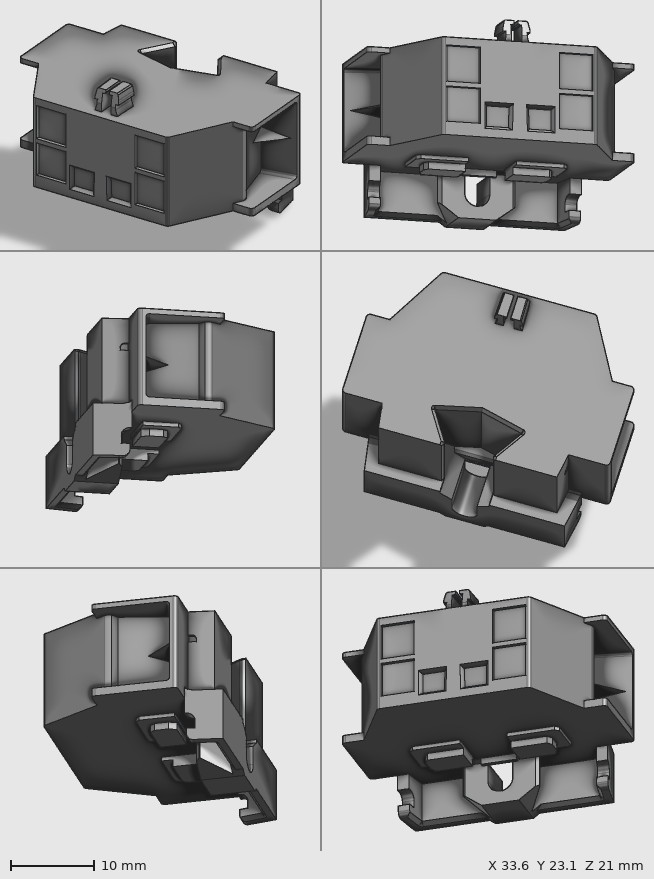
import cadquery as cq
import math


BODY_HEIGHT = 12.05
TOTAL_DEPTH = 23.1
WING_HALF_WIDTH = 16.8
WING_FRONT_Y = 7.77
WING_BACK_Y = 18.5
SHOULDER_HALF_WIDTH = 13.98
FRONT_HALF_WIDTH = 9.65
CORNER_RADIUS = 0.5

BLOCK_BACK_Y = 21.7
BLOCK_BACK_HALF = 11.2
BLOCK_FRONT_HALF = 11.7
BLOCK_NOTCH_Z = (8.1, 9.0)
BLOCK_NOTCH_DEPTH = 1.0
BLOCK_NOTCH_BITE = 0.5
BLOCK_NOTCH_RADIUS = 0.6

PLATE_TOP_Z = 11.4
PLATE_BOTTOM_Z = 1.03
POCKET_FILLET = 0.45
POCKET_CORNER = (12.2, 16.6)
POCKET_OUTER_Y = 17.55
POCKET_WALL_END = (13.7, 10.3)
JAMB_Y = (8.88, 9.75)
JAMB_BULGE = 0.07

WEDGE_Z = 6.25
WEDGE_HALF_HEIGHT = 0.85
WEDGE_OUTER_X = 16.0
WEDGE_FRONT_Y = 13.9

LABEL_X = (4.97, 9.18)
LABEL_Z_RANGES = ((1.65, 6.0), (6.58, 11.05))
LABEL_DEPTH = 0.5
WINDOW_X = (0.84, 4.41)
WINDOW_Z = (1.08, 4.35)
WINDOW_LEAN = 0.1
WINDOW_BEVEL = 0.38
WINDOW_DEPTH = 0.5

CLIP_HEIGHT = 2.95
CLIP_BACK_Y = 4.62
CLIP_FRONT_Y = 1.28
CLIP_FRONT_LEAN = 0.35
CLIP_LEAN_START = 1.1
CLIP_DRAFT = 0.1
CLIP_INNER_X = 0.67
CLIP_FOOT_X = 1.7
CLIP_ANKLE_X = 1.45
CLIP_ANKLE_HEIGHT = 0.83
CLIP_NECK_X = 1.42
CLIP_BARB_X = 1.8
CLIP_BARB_HEIGHT = 1.5
CLIP_BARB_EDGE = 0.3
CLIP_BARB_BEVEL = (0.06, 0.3)
CLIP_SHOULDER_X = 1.6
CLIP_CROWN_X = 1.45
CLIP_CROWN_DROP = 0.2
CLIP_LIP_X = 0.24
CLIP_LIP_HEIGHT = 0.52
CLIP_LIP_BEVEL = (0.21, 0.12)

FOOT_TOP_Z = PLATE_BOTTOM_Z
FOOT_BOTTOM_Z = -5.45
FOOT_BACK_HALF = 12.58
FOOT_FRONT_HALF = 13.35
FOOT_FRONT_Y = WING_BACK_Y
FOOT_RAMP = (1.0, 0.45)
FOOT_RAMP_KINK = (0.3, 0.2)
TOE_SETBACK = 0.22
TOE_RADIUS = 0.75
HOOK_THICKNESS = 1.45
RECESS_BACK_Y = 21.7
RECESS_BACK_HALF = 11.28
RECESS_BEVEL = 0.5
HOOK_NOTCH_DEPTH = 1.25
HOOK_NOTCH_RADIUS = 1.05
HOOK_NOTCH_Z = (-3.93, -1.95)

TONGUE_FRONT_Y = 17.65
TONGUE_HALF = 4.86
TONGUE_CORNER = 0.4
TONGUE_SIDE_Y = 18.2
TONGUE_SIDE_ANGLE = 32
TONGUE_TIP_HALF = 2.37
TONGUE_SHOULDER_Z = -4.2
TONGUE_BOTTOM_Z = -6.0
SLOT_RADIUS = 1.58
SLOT_CENTRE_Z = -2.86
LEDGE_HALF = 2.27
LEDGE_FRONT_Y = 17.1
LEDGE_DEPTH = 0.8
GUSSET_SIZE = 0.4

NECK_HALF = 3.09
NECK_FRONT_Y = 21.1
NECK_BEVEL = (0.22, 0.4)
DOVETAIL_HALF = 5.45
DOVETAIL_Y = 17.32
DOVETAIL_APEX_Y = 16.0
DOVETAIL_BEVEL = 0.4
FLOOR_Z = 0.6
FUNNEL_SLOPE = (TONGUE_SHOULDER_Z - TONGUE_BOTTOM_Z) / (TONGUE_HALF - TONGUE_TIP_HALF)
SILL_Y = (17.07, 17.5)
SILL_DROP = 0.12

PAD_INNER_X = 3.0
PAD_OUTER_X = 9.5
PAD_Y = (11.35, 16.25)
PAD_HEIGHT = 0.5
PAD_CORNER = 0.5
LOWER_PAD_OUTER_X = 8.05
LOWER_PAD_Y = (12.75, 16.05)
LOWER_PAD_HEIGHT = 0.9
LOWER_PAD_FRONT_CORNER = 0.65
LOWER_PAD_BACK_CORNER = 0.95
LOWER_PAD_CORNER_WIDTH = 0.45

BEVEL_ANGLE = 45
CLEARANCE = 1.0


def box(x_range, y_range, z_range):
    """Axis-aligned box from its three extents."""
    size = [high - low for low, high in (x_range, y_range, z_range)]
    corner = (x_range[0], y_range[0], z_range[0])
    return cq.Workplane("XY").box(*size, centered=False).translate(corner)


def plan(points, z_low, z_high):
    """Prism standing on an XY outline."""
    return cq.Workplane("XY").workplane(offset=z_low).polyline(points).close().extrude(z_high - z_low)


def mirrored(points):
    """Closed outline from its +X half, listed from one end of the mirror line to the other."""
    return points + [(-x, v) for x, v in reversed(points) if x > 0]


def elevation(points, y_low, y_high):
    """Prism running along Y from an XZ outline."""
    return cq.Workplane("XZ", origin=(0, y_low, 0)).polyline(points).close().extrude(y_low - y_high)


def profile(points, x_low, x_high):
    """Prism running along X from a YZ outline."""
    return cq.Workplane("YZ", origin=(x_low, 0, 0)).polyline(points).close().extrude(x_high - x_low)


def both_sides(shape):
    """The shape together with its mirror image across X = 0."""
    return shape.union(shape.mirror("YZ"))


def make_body():
    """Main body with its wings and rear block, before the pockets and the rear notch are cut."""
    half = [
        (FRONT_HALF_WIDTH, 0),
        (SHOULDER_HALF_WIDTH, WING_FRONT_Y),
        (WING_HALF_WIDTH, WING_FRONT_Y),
        (WING_HALF_WIDTH, WING_BACK_Y),
    ]
    body = plan(mirrored(half), 0, BODY_HEIGHT)
    for x, y in (half[0], half[2], half[3]):
        for side in (-1, 1):
            corner = cq.selectors.NearestToPointSelector((side * x, y, BODY_HEIGHT / 2))
            body = body.edges("|Z").edges(corner).fillet(CORNER_RADIUS)
    block = [
        (BLOCK_FRONT_HALF, WING_BACK_Y - CLEARANCE),
        (BLOCK_FRONT_HALF, WING_BACK_Y),
        (BLOCK_BACK_HALF, BLOCK_BACK_Y),
    ]
    body = body.union(plan(mirrored(block), 0, BODY_HEIGHT))
    notch_x = (BLOCK_FRONT_HALF - BLOCK_NOTCH_BITE, WING_HALF_WIDTH)
    notch = make_notch(BLOCK_NOTCH_DEPTH, BLOCK_NOTCH_Z, notch_x, BLOCK_NOTCH_RADIUS)
    return body.cut(both_sides(notch))


def make_wing_pocket():
    """Pocket in the +X wing, open outward and to the front, less the rounded jamb of the front slope."""
    slope = (SHOULDER_HALF_WIDTH - FRONT_HALF_WIDTH) / WING_FRONT_Y
    jamb_x = SHOULDER_HALF_WIDTH + slope * (JAMB_Y[0] - WING_FRONT_Y)
    outer_x = WING_HALF_WIDTH + CLEARANCE
    front_y = WING_FRONT_Y - CLEARANCE
    pocket = (
        cq.Workplane("XY").workplane(offset=PLATE_BOTTOM_Z)
        .moveTo(SHOULDER_HALF_WIDTH - slope * CLEARANCE, front_y)
        .lineTo(jamb_x, JAMB_Y[0])
        .threePointArc((jamb_x + JAMB_BULGE, sum(JAMB_Y) / 2), (jamb_x, JAMB_Y[1]))
        .lineTo(*POCKET_WALL_END)
        .lineTo(*POCKET_CORNER)
        .lineTo(WING_HALF_WIDTH, POCKET_OUTER_Y)
        .lineTo(outer_x, POCKET_OUTER_Y)
        .lineTo(outer_x, front_y)
        .close()
        .extrude(PLATE_TOP_Z - PLATE_BOTTOM_Z)
    )
    middle = ((POCKET_CORNER[0] + WING_HALF_WIDTH) / 2, (POCKET_CORNER[1] + POCKET_OUTER_Y) / 2)
    for z in (PLATE_BOTTOM_Z, PLATE_TOP_Z):
        pocket = pocket.edges(cq.selectors.NearestToPointSelector((*middle, z))).fillet(POCKET_FILLET)
    return pocket


def make_wedge():
    """Pointed rib across the inner corner of the +X pocket."""
    (x, y), (end_x, end_y) = POCKET_CORNER, POCKET_WALL_END
    share = (y - WEDGE_FRONT_Y) / (y - end_y)
    front_tip = cq.Vector(x + share * (end_x - x), WEDGE_FRONT_Y, WEDGE_Z)
    share = (WEDGE_OUTER_X - x) / (WING_HALF_WIDTH - x)
    outer_tip = cq.Vector(WEDGE_OUTER_X, y + share * (POCKET_OUTER_Y - y), WEDGE_Z)
    upper = cq.Vector(x, y, WEDGE_Z + WEDGE_HALF_HEIGHT)
    lower = cq.Vector(x, y, WEDGE_Z - WEDGE_HALF_HEIGHT)
    triangles = [
        (front_tip, outer_tip, upper),
        (outer_tip, front_tip, lower),
        (upper, lower, front_tip),
        (lower, upper, outer_tip),
    ]
    faces = [cq.Face.makeFromWires(cq.Wire.makePolygon(t, close=True)) for t in triangles]
    return cq.Workplane(cq.Solid.makeSolid(cq.Shell.makeShell(faces)))


def make_front_recesses():
    """Label recesses and bevelled window of the +X half of the front face."""
    inner_x, outer_x = WINDOW_X
    low_z, high_z = WINDOW_Z
    bevel = WINDOW_BEVEL
    rim = [(inner_x + WINDOW_LEAN, low_z), (outer_x, low_z), (outer_x, high_z), (inner_x, high_z)]
    floor = [
        (inner_x + bevel + WINDOW_LEAN, low_z + bevel),
        (outer_x - bevel, low_z + bevel),
        (outer_x - bevel, high_z - bevel),
        (inner_x + bevel, high_z - bevel),
    ]
    recesses = (
        cq.Workplane("XZ")
        .polyline(rim).close()
        .workplane(offset=-WINDOW_DEPTH)
        .polyline(floor).close()
        .loft(ruled=True)
    )
    for z_range in LABEL_Z_RANGES:
        recesses = recesses.union(box(LABEL_X, (0, LABEL_DEPTH), z_range))
    return recesses


def make_clip_prong():
    """+X prong of the snap clip: a leaning foot, a neck, a barbed head and an inner lip."""
    top = BODY_HEIGHT + CLIP_HEIGHT
    barb_z = BODY_HEIGHT + CLIP_BARB_HEIGHT
    barb_top_z = barb_z + CLIP_BARB_EDGE
    lip_z = top - CLIP_LIP_HEIGHT
    outer = [
        (CLIP_FOOT_X, BODY_HEIGHT),
        (CLIP_ANKLE_X, BODY_HEIGHT + CLIP_ANKLE_HEIGHT),
        (CLIP_NECK_X, barb_z),
        (CLIP_BARB_X, barb_z),
        (CLIP_BARB_X, barb_top_z),
        (CLIP_BARB_X - CLIP_BARB_BEVEL[0], barb_top_z + CLIP_BARB_BEVEL[1]),
        (CLIP_SHOULDER_X, top - CLIP_CROWN_DROP),
        (CLIP_CROWN_X, top),
    ]
    inner = [
        (CLIP_LIP_X, top),
        (CLIP_LIP_X, lip_z + CLIP_LIP_BEVEL[1]),
        (CLIP_LIP_X + CLIP_LIP_BEVEL[0], lip_z),
        (CLIP_INNER_X, lip_z),
        (CLIP_INNER_X, BODY_HEIGHT),
    ]
    narrowed = [(x - CLIP_DRAFT, z) for x, z in outer]
    prong = (
        cq.Workplane("XZ", origin=(0, CLIP_BACK_Y, 0))
        .polyline(outer + inner).close()
        .workplane(offset=CLIP_BACK_Y - CLIP_FRONT_Y)
        .polyline(narrowed + inner).close()
        .loft(ruled=True)
    )
    lean = [
        (CLIP_FRONT_Y, BODY_HEIGHT + CLIP_LEAN_START),
        (CLIP_FRONT_Y, top),
        (CLIP_FRONT_Y + CLIP_FRONT_LEAN, top),
    ]
    return prong.cut(profile(lean, 0, CLIP_BARB_X))


def make_notch(depth, z_range, x_range, radius):
    """Tool for a notch at the front edge of a side wall, with its upper rear corner rounded."""
    back_y = FOOT_FRONT_Y + depth
    notch = box(x_range, (FOOT_FRONT_Y, back_y), z_range)
    return notch.edges("|X and >Y and >Z").fillet(radius)


def make_foot():
    """Rail foot: a hooked side wall at each end and a wide recess between them."""
    run, rise = FOOT_RAMP
    kink_run, kink_rise = FOOT_RAMP_KINK
    toe_y = FOOT_FRONT_Y + TOE_SETBACK
    side = [
        (TOTAL_DEPTH, FOOT_TOP_Z),
        (FOOT_FRONT_Y + run, FOOT_TOP_Z),
        (FOOT_FRONT_Y + kink_run, FOOT_TOP_Z + kink_rise),
        (FOOT_FRONT_Y, FOOT_TOP_Z + rise),
        (FOOT_FRONT_Y, HOOK_NOTCH_Z[0]),
        (toe_y, HOOK_NOTCH_Z[0]),
        (toe_y, FOOT_BOTTOM_Z),
        (TOTAL_DEPTH, FOOT_BOTTOM_Z),
    ]
    outline = mirrored([(FOOT_FRONT_HALF, FOOT_FRONT_Y), (FOOT_BACK_HALF, TOTAL_DEPTH)])
    foot = plan(outline, FOOT_BOTTOM_Z, FOOT_TOP_Z + rise)
    sides = profile(side, -FOOT_FRONT_HALF, FOOT_FRONT_HALF)
    toe_edge = cq.selectors.NearestToPointSelector((0, toe_y, FOOT_BOTTOM_Z))
    foot = foot.intersect(sides.edges(toe_edge).fillet(TOE_RADIUS))
    inner = FOOT_FRONT_HALF - HOOK_THICKNESS
    recess = mirrored([
        (inner, FOOT_FRONT_Y),
        (RECESS_BACK_HALF, RECESS_BACK_Y),
    ])
    foot = foot.cut(plan(recess, FOOT_BOTTOM_Z, 0))
    bevel = (
        cq.Workplane("XY").workplane(offset=FOOT_BOTTOM_Z + RECESS_BEVEL)
        .polyline(recess).close()
        .extrude(-RECESS_BEVEL, taper=-BEVEL_ANGLE)
    )
    foot = foot.cut(bevel)
    notch_x = (RECESS_BACK_HALF, WING_HALF_WIDTH)
    notch = make_notch(HOOK_NOTCH_DEPTH, HOOK_NOTCH_Z, notch_x, HOOK_NOTCH_RADIUS)
    return foot.cut(both_sides(notch))


def make_tongue():
    """Tapered tongue below the notch, with the ledge that caps its front."""
    outline = [
        (TONGUE_HALF, BODY_HEIGHT / 2),
        (TONGUE_HALF, TONGUE_SHOULDER_Z),
        (TONGUE_TIP_HALF, TONGUE_BOTTOM_Z),
    ]
    tongue = elevation(mirrored(outline), TONGUE_FRONT_Y, TOTAL_DEPTH)
    tongue = tongue.edges("|Z and <Y").chamfer(TONGUE_CORNER)
    waist = TONGUE_HALF - (RECESS_BACK_Y - TONGUE_SIDE_Y) * math.tan(math.radians(TONGUE_SIDE_ANGLE))
    side = [(TONGUE_HALF, TONGUE_SIDE_Y), (TONGUE_HALF, RECESS_BACK_Y), (waist, RECESS_BACK_Y)]
    tongue = tongue.cut(both_sides(plan(side, TONGUE_BOTTOM_Z, 0)))
    tongue = tongue.cut(box((-TONGUE_HALF, TONGUE_HALF), (0, TOTAL_DEPTH), (FOOT_TOP_Z, BODY_HEIGHT)))
    ledge = box((-LEDGE_HALF, LEDGE_HALF), (LEDGE_FRONT_Y, TONGUE_FRONT_Y), (-LEDGE_DEPTH, 0))
    gusset_half = TONGUE_HALF - TONGUE_CORNER
    gusset = profile(
        [(TONGUE_FRONT_Y, 0), (TONGUE_FRONT_Y - GUSSET_SIZE, 0), (TONGUE_FRONT_Y, -GUSSET_SIZE)],
        -gusset_half, gusset_half,
    )
    return tongue.union(ledge).union(gusset)


def make_dovetail():
    """Tool for the rear notch: dovetail plan, bevelled rim, funnel-shaped floor and rounded slot."""
    back = TOTAL_DEPTH + CLEARANCE
    outline = mirrored([
        (0, DOVETAIL_APEX_Y),
        (DOVETAIL_HALF, DOVETAIL_Y),
        (NECK_HALF, NECK_FRONT_Y),
        (NECK_HALF, back),
    ])
    notch = plan(outline, TONGUE_BOTTOM_Z, BODY_HEIGHT)
    rim_z = BODY_HEIGHT - DOVETAIL_BEVEL
    rim = (
        cq.Workplane("XY").workplane(offset=rim_z)
        .polyline(outline).close()
        .extrude(DOVETAIL_BEVEL, taper=-BEVEL_ANGLE)
    )

    funnel_low = FLOOR_Z - FUNNEL_SLOPE * (NECK_HALF - SLOT_RADIUS)
    funnel_high = FLOOR_Z + FUNNEL_SLOPE * (DOVETAIL_HALF - NECK_HALF)
    funnel = elevation(
        mirrored([
            (SLOT_RADIUS, funnel_low),
            (DOVETAIL_HALF, funnel_high),
            (DOVETAIL_HALF, BODY_HEIGHT),
        ]),
        0, back,
    )
    sill = profile(
        [
            (0, TONGUE_BOTTOM_Z),
            (0, FLOOR_Z),
            (SILL_Y[0], FLOOR_Z),
            (SILL_Y[1], FLOOR_Z - SILL_DROP),
            (SILL_Y[1], TONGUE_BOTTOM_Z),
        ],
        -NECK_HALF, NECK_HALF,
    )
    slot = box((-SLOT_RADIUS, SLOT_RADIUS), (TONGUE_FRONT_Y, back), (SLOT_CENTRE_Z, BODY_HEIGHT))
    slot_end = (
        cq.Workplane("XZ", origin=(0, TONGUE_FRONT_Y, SLOT_CENTRE_Z))
        .circle(SLOT_RADIUS)
        .extrude(TONGUE_FRONT_Y - back)
    )
    passage = funnel.cut(sill).union(slot).union(slot_end)
    return notch.intersect(passage).union(rim)


def make_neck_bevel():
    """Tool for the bevelled upright corner of the +X rear block beside the neck."""
    corner = [
        (NECK_HALF, BLOCK_BACK_Y - NECK_BEVEL[1]),
        (NECK_HALF + NECK_BEVEL[0], BLOCK_BACK_Y),
        (NECK_HALF, BLOCK_BACK_Y),
    ]
    return plan(corner, FOOT_TOP_Z, BODY_HEIGHT)


def make_pad(x_outer, y_range, z_range, corner_width, front_run, back_run):
    """Pad on the +X side; its outer corners are cut back by the given runs along Y."""
    front, back = y_range
    outline = [
        (PAD_INNER_X, front),
        (x_outer - corner_width, front),
        (x_outer, front + front_run),
        (x_outer, back - back_run),
    ]
    if back_run > 0:
        outline.append((x_outer - corner_width, back))
    outline.append((PAD_INNER_X, back))
    return plan(outline, *z_range)


def make_pads():
    """The two stacked pads on the +X side of the underside."""
    upper = make_pad(PAD_OUTER_X, PAD_Y, (-PAD_HEIGHT, 0), PAD_CORNER, PAD_CORNER, 0)
    lower = make_pad(
        LOWER_PAD_OUTER_X, LOWER_PAD_Y, (-PAD_HEIGHT - LOWER_PAD_HEIGHT, -PAD_HEIGHT),
        LOWER_PAD_CORNER_WIDTH, LOWER_PAD_FRONT_CORNER, LOWER_PAD_BACK_CORNER,
    )
    return upper.union(lower)


result = make_body().union(make_foot()).union(make_tongue())
result = result.cut(make_dovetail()).cut(both_sides(make_neck_bevel()))
result = result.cut(both_sides(make_wing_pocket())).union(both_sides(make_wedge()))
result = result.cut(both_sides(make_front_recesses()))
result = result.union(both_sides(make_clip_prong())).union(both_sides(make_pads()))